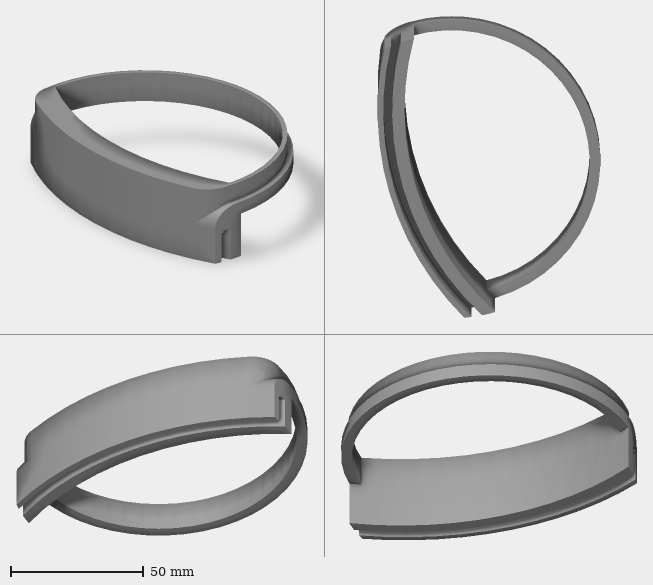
import cadquery as cq

outer_radius = 56.2
total_height = 30.0
front_reach = 24.4

opening_radius = 52.1
collar_radius = 53.9
ring_bottom = 17.9
ledge_height = 22.9

front_radius = 117.9
front_center_y = front_radius - front_reach
wall_thickness = 10.3
wall_back_radius = 111.2
wall_back_center_y = wall_back_radius - front_reach + wall_thickness
collar_corner_radius = 11.7
shoulder_radius = 8.1

groove_inner_radius = 112.4
groove_step_radius = 115.0
groove_outer_radius = 115.8
groove_depth = 13.1
groove_step_depth = 12.1


def cylinder(radius, bottom, top, center_y=0.0):
    """Vertical cylinder centred on the plane X = 0."""
    return (
        cq.Workplane("XY", origin=(0, center_y, bottom))
        .circle(radius)
        .extrude(top - bottom)
    )


def bowed_disc(radius, height):
    """Disc standing on Z = 0, with its front trimmed by the curved front face."""
    front_trim = cylinder(front_radius, 0, height, front_center_y)
    return cylinder(radius, 0, height).intersect(front_trim)


def base():
    """Wide lower body, rounded where the ledge rolls into the front face."""
    front_top_edge = cq.selectors.NearestToPointSelector((0, -front_reach, ledge_height))
    return bowed_disc(outer_radius, ledge_height).edges(front_top_edge).fillet(shoulder_radius)


def collar():
    """Narrower full-height body with rounded corners beside the front face."""
    body = bowed_disc(collar_radius, total_height)
    front_half = cq.selectors.BoxSelector(
        (-outer_radius, -front_reach, 0), (outer_radius, -collar_corner_radius, total_height)
    )
    return body.edges("|Z").edges(front_half).fillet(collar_corner_radius)


def opening():
    """Space inside the ring and behind the front wall."""
    behind_wall = cylinder(wall_back_radius, 0, total_height, wall_back_center_y)
    return cylinder(opening_radius, 0, total_height).intersect(behind_wall)


def ring_undercut():
    """Space below the ring, everywhere behind the front wall."""
    return cylinder(wall_back_radius, 0, ring_bottom, wall_back_center_y)


def groove_part(radius, depth):
    """Curved band from the groove's inner side out to the given radius."""
    outside = cylinder(radius, 0, depth, front_center_y)
    return outside.cut(cylinder(groove_inner_radius, 0, depth, front_center_y))


result = (
    base()
    .union(collar())
    .cut(opening())
    .cut(ring_undercut())
    .cut(groove_part(groove_step_radius, groove_depth))
    .cut(groove_part(groove_outer_radius, groove_step_depth))
)